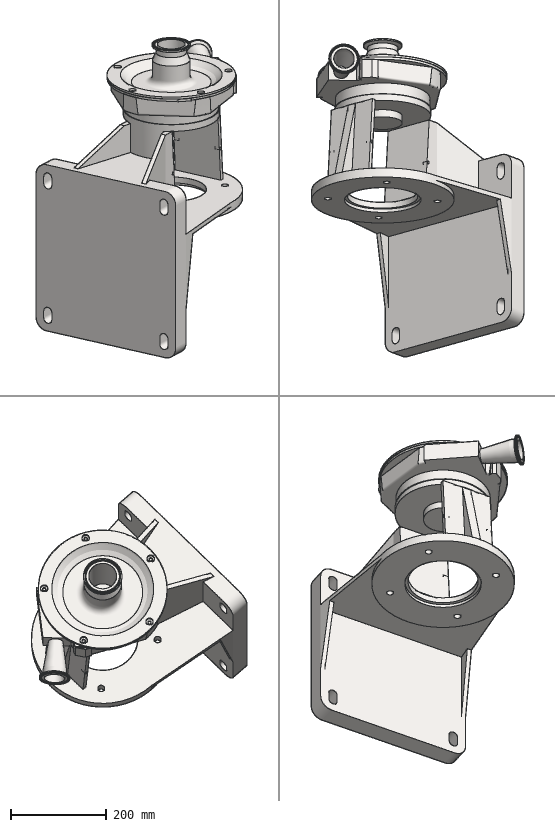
import cadquery as cq
import math

overall_height = 593.5
overall_depth = 478.5

plate_width = 350.0
plate_height = 371.5
plate_thickness = 40.5
plate_corner_radius = 27.0
plate_front_y = -251.0
plate_back_y = plate_front_y + plate_thickness
slot_width = 20.0
slot_length = 35.5
slot_x = 145.5
slot_inset = 35.5

shelf_top = 269.5
shelf_plate_thickness = 10.0
shelf_thickness = 20.0
shelf_radius = 149.5
shelf_bore_radius = 73.5
shelf_recess_radius = 80.0
shelf_recess_depth = 7.0
shelf_hole_radius = 7.0
shelf_hole_circle = 115.0
shelf_bottom = shelf_top - shelf_thickness
shelf_plate_bottom = shelf_top - shelf_plate_thickness

bracket_width = 10.0
bracket_reach = 31.5
bracket_foot_z = 102.5

yoke_top = 435.5
yoke_half_width = 57.0
yoke_corner_y = -109.0
front_face_y = -71.0
back_face_y = 102.0
yoke_lean = 12.0
back_wall_thickness = 9.0
back_rib_reach_y = 142.5
back_rib_width = 20.0
pin_radius = 3.0
pin_depth = 12.0
pin_z = 340.5
pin_front_y = -80.0
pin_back_y = 101.0

gusset_tail_x = 90.0
gusset_tail_y = -235.5
gusset_thickness = 10.5
gusset_root_y = -86.0
gusset_slope = (gusset_tail_x - yoke_half_width) / (yoke_corner_y - gusset_tail_y)

hub_ring_radius = 101.0
hub_ring_top = 450.5
hub_radius = 99.0
casing_bottom = 475.0
casing_top = 515.0
casing_radius = 132.5
casing_flat_distance = 116.5
casing_draft = 3.0
casing_edge_radius = 4.0
lug_end = [(-46.0, 127.5), (-54.5, 130.5)]
deep_lug_side = [(-72.5, 118.0), (-78.5, 106.0)]
outlet_pad_end = (-107.5, 79.0)
opposite_pad_edge = [(86.5, -107.0), (107.0, -86.5)]
stub_radius = 41.0
stub_bottom = 419.5

cover_seat = 520.5
cover_top = 525.0
cover_radius = 135.5
lip_radius = 134.0
bolt_count = 5
bolt_start_angle = 45.6
bolt_circle = 123.0
bolt_recess_radius = 8.0
bolt_recess_depth = 5.0
bolt_socket_radius = 3.5
bolt_socket_depth = 8.5

dish_rim_radius = 107.0
dish_rim_chamfer = 3.0
dish_wall_foot_radius = 94.5
dish_floor_radius = 83.5
dish_floor = 509.0
dish_wall_foot = 514.0
dish_root_radius = 54.5

pipe_radius = 40.0
pipe_shoulder = 559.0
neck_radius = 32.0
neck_start = 575.0
inlet_rim_radius = 40.5
inlet_rim_thickness = 3.5
inlet_groove_radius = 36.0
inlet_bore_radius = 29.0
inlet_bore_floor = 486.5

groove_width = 2.5
groove_depth = 2.0

outlet_angle = 135.0
outlet_offset = 95.5
outlet_z = 494.5
outlet_face_distance = 110.0
outlet_overlap = 6.0
outlet_block_tip_offset = 122.0
outlet_block_foot_offset = 22.0
outlet_block_side_end = (101.0, 95.5)
outlet_root_radius = 15.5
outlet_tube_radius = 25.0
outlet_rim_radius = 32.0
outlet_rim_thickness = 3.5
outlet_groove_radius = 29.0
outlet_cone_end = 177.0
outlet_wall = 3.5
outlet_lip_depth = 3.5


def box(x0, x1, y0, y1, z0, z1):
    return cq.Workplane("XY").box(x1 - x0, y1 - y0, z1 - z0, centered=False).translate((x0, y0, z0))


def disc(radius, z0, z1):
    return cq.Workplane("XY").workplane(offset=z0).circle(radius).extrude(z1 - z0)


def prism(points, z0, z1):
    return cq.Workplane("XY").workplane(offset=z0).polyline(points).close().extrude(z1 - z0)


def side_profile(points, x0, x1):
    """Extrude a (Y, Z) outline along X."""
    return cq.Workplane("YZ").workplane(offset=x0).polyline(points).close().extrude(x1 - x0)


def polar(radius, degrees):
    angle = math.radians(degrees)
    return (radius * math.cos(angle), radius * math.sin(angle))


def both_sides(solid):
    return solid.union(solid.mirror("YZ"))


def mounting_plate():
    plate = box(-plate_width / 2, plate_width / 2, plate_front_y, plate_back_y, 0, plate_height)
    plate = plate.edges("|Y").fillet(plate_corner_radius)
    slot_places = [(x, z) for x in (-slot_x, slot_x) for z in (slot_inset, plate_height - slot_inset)]
    slots = (
        cq.Workplane("XZ", origin=(0, plate_back_y, 0))
        .pushPoints(slot_places)
        .slot2D(slot_length, slot_width, 90)
        .extrude(plate_thickness)
    )
    return plate.cut(slots)


def shelf():
    corner_x = plate_width / 2
    plate = (
        cq.Workplane("XY")
        .workplane(offset=shelf_plate_bottom)
        .moveTo(-corner_x, plate_back_y)
        .lineTo(corner_x, plate_back_y)
        .lineTo(shelf_radius, 0)
        .threePointArc((0, shelf_radius), (-shelf_radius, 0))
        .close()
        .extrude(shelf_plate_thickness)
    )
    plate = plate.union(disc(shelf_radius, shelf_bottom, shelf_plate_bottom))
    recess = disc(shelf_recess_radius, shelf_bottom, shelf_bottom + shelf_recess_depth)
    holes = disc(shelf_bore_radius, shelf_bottom, shelf_top).union(recess)
    for angle in (45, 135, 225, 315):
        x, y = polar(shelf_hole_circle, angle)
        holes = holes.union(disc(shelf_hole_radius, shelf_bottom, shelf_top).translate((x, y, 0)))
    return plate.cut(holes)


def shelf_brackets():
    outline = [
        (plate_back_y, shelf_plate_bottom),
        (plate_back_y + bracket_reach, shelf_plate_bottom),
        (plate_back_y, bracket_foot_z),
    ]
    corner_x = plate_width / 2
    plan = [
        (corner_x, plate_back_y),
        (shelf_radius, 0),
        (shelf_radius - bracket_width, 0),
        (corner_x - bracket_width, plate_back_y),
    ]
    return both_sides(prism(plan, 0, shelf_plate_bottom).intersect(side_profile(outline, 0, corner_x)))


def gusset_x(y):
    """Outer X of the right-hand gusset at a given Y."""
    return yoke_half_width + gusset_slope * (yoke_corner_y - y)


def gussets():
    plan = [
        (yoke_half_width, front_face_y),
        (yoke_half_width, yoke_corner_y),
        (gusset_tail_x, gusset_tail_y),
        (gusset_tail_x - gusset_thickness, gusset_tail_y),
        (gusset_x(gusset_root_y) - gusset_thickness, gusset_root_y),
    ]
    slope_outline = [
        (front_face_y, shelf_top),
        (front_face_y - yoke_lean, yoke_top),
        (yoke_corner_y, yoke_top),
        (gusset_tail_y, plate_height),
        (plate_back_y, plate_height),
        (plate_back_y, shelf_top),
    ]
    blank = prism(plan, shelf_top, yoke_top)
    return both_sides(blank.intersect(side_profile(slope_outline, 0, plate_width / 2)))


def gusset_infill():
    """Solid block between the gussets, level with the top of the mounting plate."""
    root_x = gusset_x(gusset_root_y) - gusset_thickness / 2
    tail_x = gusset_x(plate_back_y) - gusset_thickness / 2
    plan = [
        (-root_x, gusset_root_y),
        (root_x, gusset_root_y),
        (tail_x, plate_back_y),
        (-tail_x, plate_back_y),
    ]
    return prism(plan, shelf_top, plate_height)


def front_upright():
    leaning_block = [
        (front_face_y, shelf_top),
        (front_face_y - yoke_lean, yoke_top),
        (yoke_corner_y, yoke_top),
        (yoke_corner_y, shelf_top),
    ]
    block = side_profile(leaning_block, -yoke_half_width, yoke_half_width)
    return block.intersect(disc(hub_ring_radius, shelf_top, yoke_top))


def back_upright():
    outer_y = back_face_y + back_wall_thickness
    wall_outline = [
        (back_face_y, shelf_top),
        (outer_y, shelf_top),
        (outer_y - yoke_lean, yoke_top),
        (back_face_y - yoke_lean, yoke_top),
    ]
    rib_outline = [
        (back_face_y, shelf_top),
        (back_rib_reach_y, shelf_top),
        (outer_y - yoke_lean, yoke_top),
        (back_face_y - yoke_lean, yoke_top),
    ]
    wall = side_profile(wall_outline, -yoke_half_width, yoke_half_width)
    return wall.union(side_profile(rib_outline, -back_rib_width / 2, back_rib_width / 2))


def yoke_pin_holes():
    return both_sides(
        cq.Workplane("YZ")
        .workplane(offset=yoke_half_width - pin_depth)
        .pushPoints([(pin_front_y, pin_z), (pin_back_y, pin_z)])
        .circle(pin_radius)
        .extrude(pin_depth)
    )


def casing_body():
    height = casing_top - casing_bottom
    foot_radius = casing_radius - height * math.tan(math.radians(casing_draft))
    body = cq.Workplane(obj=cq.Solid.makeCone(foot_radius, casing_radius, height))
    pitch = 360 / bolt_count
    for index in range(bolt_count):
        flat_angle = bolt_start_angle + (index + 0.5) * pitch
        waste = box(casing_flat_distance, 2 * casing_radius, -casing_radius, casing_radius, 0, height)
        body = body.cut(waste.rotate((0, 0, 0), (0, 0, 1), flat_angle))
    return body.faces("<Z").edges().fillet(casing_edge_radius).translate((0, 0, casing_bottom))


def outlet_point(distance, offset):
    """Plan point at a distance along the outlet direction and an offset to its right."""
    x, y = polar(distance, outlet_angle)
    offset_x, offset_y = polar(offset, outlet_angle - 90)
    return (x + offset_x, y + offset_y)


def outlet_block():
    tip = outlet_point(outlet_face_distance, outlet_block_tip_offset)
    face_foot = outlet_point(outlet_face_distance, outlet_block_foot_offset)
    return prism([tip, face_foot, (0, 0), outlet_block_side_end], casing_bottom, casing_top)


def casing_lugs():
    center = (0, 0)
    deep_lug = prism([center] + lug_end + deep_lug_side, casing_bottom, casing_top)
    outlet_pad = prism([center] + lug_end + [outlet_pad_end], casing_top, cover_seat)
    opposite_pad = prism([center] + opposite_pad_edge, casing_top, cover_seat)
    return deep_lug.union(outlet_pad).union(opposite_pad)


def pump_solid():
    solid = disc(stub_radius, stub_bottom, yoke_top)
    solid = solid.union(disc(hub_ring_radius, yoke_top, hub_ring_top))
    solid = solid.union(disc(hub_radius, hub_ring_top, casing_bottom))
    solid = solid.union(casing_body()).union(outlet_block()).union(casing_lugs())
    solid = solid.union(disc(lip_radius, casing_top, cover_seat))
    return solid.union(disc(cover_radius, cover_seat, cover_top))


def dish_and_inlet(solid):
    dish = (
        cq.Workplane("XZ")
        .moveTo(0, cover_top)
        .lineTo(dish_rim_radius, cover_top)
        .lineTo(dish_rim_radius - dish_rim_chamfer, cover_top - dish_rim_chamfer)
        .lineTo(dish_wall_foot_radius, dish_wall_foot)
        .lineTo(dish_floor_radius, dish_floor)
        .lineTo(0, dish_floor)
        .close()
        .revolve(360, (0, 0, 0), (0, 1, 0))
    )
    root_radius = dish_root_radius - pipe_radius
    bend = root_radius * (1 - math.sqrt(0.5))
    rim_bottom = overall_height - inlet_rim_thickness
    pipe = (
        cq.Workplane("XZ")
        .moveTo(0, casing_bottom)
        .lineTo(dish_root_radius, casing_bottom)
        .lineTo(dish_root_radius, dish_floor)
        .threePointArc((pipe_radius + bend, dish_floor + bend), (pipe_radius, dish_floor + root_radius))
        .lineTo(pipe_radius, pipe_shoulder)
        .lineTo(neck_radius, neck_start)
        .lineTo(neck_radius, rim_bottom - inlet_rim_thickness)
        .lineTo(inlet_rim_radius, rim_bottom)
        .lineTo(inlet_rim_radius, overall_height)
        .lineTo(0, overall_height)
        .close()
        .revolve(360, (0, 0, 0), (0, 1, 0))
    )
    groove = (
        cq.Workplane("XY", origin=(0, 0, overall_height - groove_depth))
        .circle(inlet_groove_radius + groove_width / 2)
        .circle(inlet_groove_radius - groove_width / 2)
        .extrude(groove_depth)
    )
    bore = disc(inlet_bore_radius, inlet_bore_floor, overall_height)
    return solid.cut(dish).union(pipe).cut(groove).cut(bore)


def bolt_recesses():
    recesses = cq.Workplane("XY")
    for index in range(bolt_count):
        x, y = polar(bolt_circle, bolt_start_angle + index * 360 / bolt_count)
        head = disc(bolt_recess_radius, cover_top - bolt_recess_depth, cover_top)
        socket = disc(bolt_socket_radius, cover_top - bolt_socket_depth, cover_top)
        recesses = recesses.union(head.union(socket).translate((x, y, 0)))
    return recesses


def outlet_turned(outline):
    """Revolve a (radius, distance) outline about the outlet axis."""
    shape = cq.Workplane("XY").polyline(outline).close().revolve(360, (0, 0, 0), (0, 1, 0))
    shape = shape.translate((outlet_offset, 0, outlet_z))
    return shape.rotate((0, 0, 0), (0, 0, 1), outlet_angle - 90)


def add_outlet(solid):
    back_y = overall_depth + plate_front_y
    outlet_end = back_y * math.sqrt(2) - outlet_offset - outlet_rim_radius
    rim_start = outlet_end - outlet_rim_thickness
    outside = [
        (0, outlet_face_distance - outlet_overlap),
        (outlet_root_radius, outlet_face_distance - outlet_overlap),
        (outlet_root_radius, outlet_face_distance),
        (outlet_tube_radius, outlet_cone_end),
        (outlet_tube_radius, rim_start - outlet_lip_depth),
        (outlet_rim_radius, rim_start),
        (outlet_rim_radius, outlet_end),
        (0, outlet_end),
    ]
    bore = [
        (0, outlet_face_distance),
        (outlet_root_radius - outlet_wall, outlet_face_distance),
        (outlet_tube_radius - outlet_wall, outlet_cone_end),
        (outlet_tube_radius - outlet_wall, outlet_end),
        (0, outlet_end),
    ]
    groove_inner = outlet_groove_radius - groove_width / 2
    groove_outer = outlet_groove_radius + groove_width / 2
    groove = [
        (groove_inner, outlet_end - groove_depth),
        (groove_outer, outlet_end - groove_depth),
        (groove_outer, outlet_end),
        (groove_inner, outlet_end),
    ]
    return solid.union(outlet_turned(outside)).cut(outlet_turned(bore)).cut(outlet_turned(groove))


bracket = mounting_plate().union(shelf()).union(shelf_brackets())
yoke = front_upright().union(back_upright()).union(gussets()).union(gusset_infill())
bracket = bracket.union(yoke).cut(yoke_pin_holes())
pump = add_outlet(dish_and_inlet(pump_solid()).cut(bolt_recesses()))
result = bracket.union(pump)